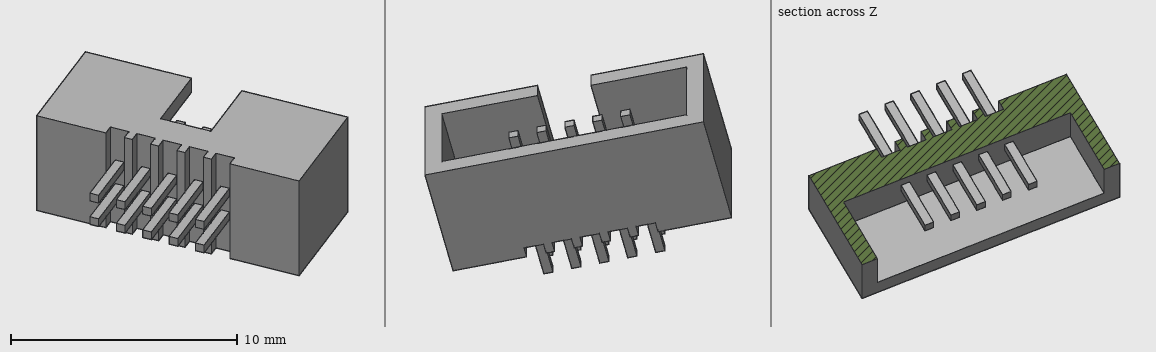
import cadquery as cq


housing_width = 12.65
housing_depth = 5.4
housing_height = 5.1
wall = 0.77
cavity_depth = 3.42
cavity_floor_y = housing_depth - cavity_depth

key_width = 2.42

columns = 5
rows = 2
pitch = 1.27
pin_size = 0.42
tail_length = 2.3
tip_recess = 1.0
pin_length = tail_length + housing_depth - tip_recess

slot_width = 0.885
slot_depth = 0.5


def block(width, depth, height, x=0.0, y=0.0, z=0.0):
    """Box centred on x and z, extending from y toward +Y."""
    return cq.Workplane("XY").box(width, depth, height, centered=(True, False, True)).translate((x, y, z))


def centred_positions(count):
    """Positions at the pin pitch, symmetric about zero."""
    return [(index - (count - 1) / 2) * pitch for index in range(count)]


def make_shell():
    shell = block(housing_width, housing_depth, housing_height)
    cavity = block(
        housing_width - 2 * wall,
        cavity_depth,
        housing_height - 2 * wall,
        y=cavity_floor_y,
    )
    return shell.cut(cavity)


def cut_key_notch(shell):
    notch = block(key_width, cavity_depth, wall, y=cavity_floor_y, z=(housing_height - wall) / 2)
    return shell.cut(notch)


def cut_rear_slots(shell):
    for x in centred_positions(columns):
        shell = shell.cut(block(slot_width, slot_depth, housing_height, x=x))
    return shell


def add_pins(housing):
    for x in centred_positions(columns):
        for z in centred_positions(rows):
            housing = housing.union(block(pin_size, pin_length, pin_size, x=x, y=-tail_length, z=z))
    return housing


housing = cut_rear_slots(cut_key_notch(make_shell()))
result = add_pins(housing)